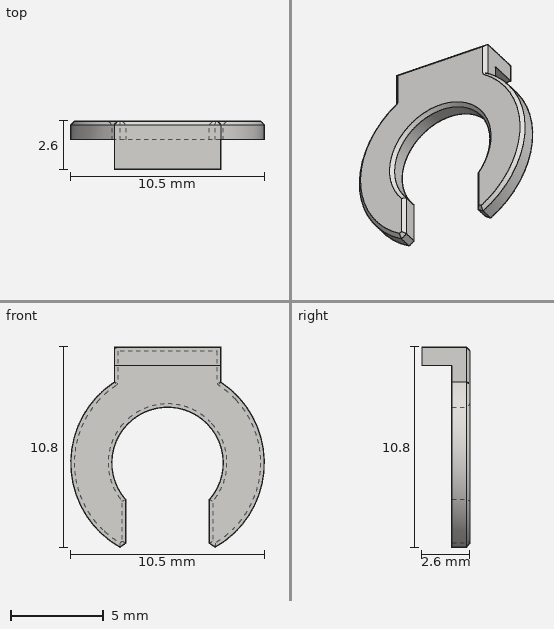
import cadquery as cq
import math

outer_radius = 5.225
inner_radius = 3.0
plate_thickness = 1.0
back_chamfer = 0.2
chamfer_angle = 45

mouth_half_width = 2.25
tip_x = 2.57
tip_inner_z = -4.33

tab_half_width = 2.875
top_z = 6.25
bar_height = 1.0
bar_projection = 1.6


def circle_z(radius, x):
    """Height above the ring axis of the circle's upper half at x."""
    return math.sqrt(radius**2 - x**2)


def plate_outline(y):
    """C-shaped outline with its tab, drawn in the plane at the given Y."""
    shoulder_z = circle_z(outer_radius, tab_half_width)
    tip_z = -circle_z(outer_radius, tip_x)
    mouth_z = -circle_z(inner_radius, mouth_half_width)
    return (
        cq.Workplane("XZ", origin=(0, y, 0))
        .moveTo(-tab_half_width, top_z)
        .lineTo(tab_half_width, top_z)
        .lineTo(tab_half_width, shoulder_z)
        .threePointArc((outer_radius, 0), (tip_x, tip_z))
        .lineTo(mouth_half_width, tip_inner_z)
        .lineTo(mouth_half_width, mouth_z)
        .threePointArc((0, inner_radius), (-mouth_half_width, mouth_z))
        .lineTo(-mouth_half_width, tip_inner_z)
        .lineTo(-tip_x, tip_z)
        .threePointArc((-outer_radius, 0), (-tab_half_width, shoulder_z))
        .close()
    )


def make_plate():
    """Straight-sided slab backed by a layer that tapers in at 45 degrees all round."""
    slab_thickness = plate_thickness - back_chamfer
    slab = plate_outline(0).extrude(-slab_thickness)
    chamfer_layer = plate_outline(slab_thickness).extrude(-back_chamfer, taper=chamfer_angle)
    return slab.union(chamfer_layer)


def make_bar():
    """Bar along the top edge of the tab, in front of the plate."""
    bar = cq.Workplane("XY").box(
        2 * tab_half_width, bar_projection, bar_height, centered=(True, False, False)
    )
    return bar.translate((0, -bar_projection, top_z - bar_height))


result = make_plate().union(make_bar())